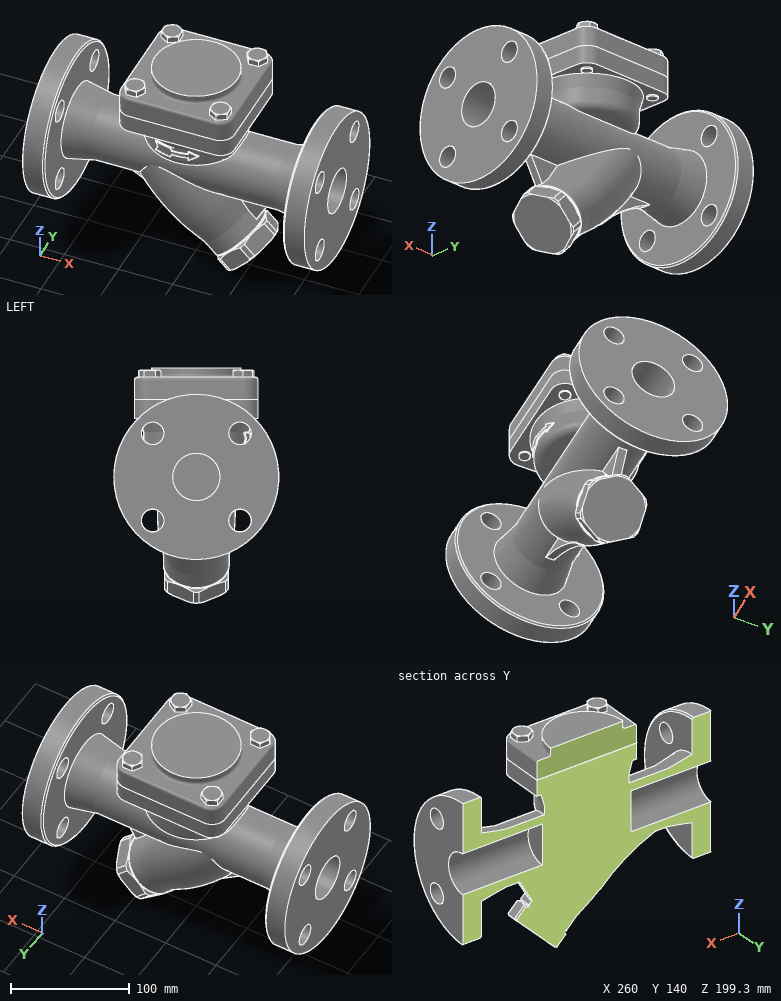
import cadquery as cq
import math


LENGTH = 260.0
PIPE_DIA = 58.0
BORE_DIA = 40.0
BORE_DEPTH = 83.2
FLANGE_DIA = 140.0
FLANGE_THICKNESS = 20.0
FLANGE_CHAMFER = 1.5
FLANGE_HOLE_DIA = 19.0
FLANGE_HOLE_OFFSET = 37.0
WELD_NECK_DIA = 68.0
WELD_NECK_LENGTH = 25.5

CHAMBER_DIA = 89.5
CHAMBER_BOTTOM = 18.5
CHAMBER_FILLET = 7.3
FLARE_BOTTOM = 38.0
FLARE_TOP_DIA = 96.2
SQUARE_WIDTH = 104.8
SQUARE_CORNER = 13.0
SQUARE_BOTTOM = 49.5
PARTING = 65.8

COVER_TOP = 84.5
COVER_EDGE_FILLET = 2.5
DISC_DIA = 76.0
DISC_TOP = 92.3
DISC_ROOT_FILLET = 2.5

BOLT_DIA = 10.0
BOLT_OFFSET = SQUARE_WIDTH / 2 - SQUARE_CORNER
BOLT_HEAD_FLATS = 16.5
BOLT_HEAD_TOP = 90.5
BOLT_END = 48.0

BRANCH_X = -33.5
BARREL_MAX_DIA = 66.0
NECK_DIA = 56.0
NECK_START = 90.2
NECK_END = 105.3
COLLAR_DIA = 54.0
PLUG_START = 106.5
PLUG_END = 122.5
PLUG_FLATS = 54.0
PLUG_CORNER_DIA = 59.8
PLUG_FACE_DIA = 56.2

RIB_THICKNESS = 7.8
RIB_LEFT_X = -71.8
RIB_RIGHT_X = 70.5
RIB_CURVE_POINT = (-46.8, -40.8)
RIB_LOWER_END = 59.8
RIB_UPPER_END = 101.0

ARROW_RELIEF = 1.0
ARROW_Z = 32.5
ARROW_HALF_HEIGHT = 4.7
ARROW_SHAFT_HALF = 1.95
ARROW_TAIL_X = -19.8
ARROW_NOTCH = 2.9
ARROW_BLOCK_END_X = -2.9
ARROW_SHOULDER = 1.5
ARROW_HEAD_X = 11.7
ARROW_TIP_X = 20.0

HEX_CHAMFER_ANGLE = math.radians(30)
OVERLAP = 2.5

ROOT_HALF = math.sqrt(0.5)
BRANCH_PLANE = cq.Plane(
    origin=(BRANCH_X, 0, 0), xDir=(ROOT_HALF, 0, ROOT_HALF), normal=(0, 1, 0)
)


def branch_point(along, across):
    """X and Z of a point given along and across the 45 degree branch axis."""
    return (BRANCH_X + (along + across) * ROOT_HALF, (across - along) * ROOT_HALF)


def cylinder(diameter, bottom, top):
    disc = cq.Workplane("XY").workplane(offset=bottom).circle(diameter / 2)
    return disc.extrude(top - bottom)


def square_block(bottom, top):
    block = cq.Workplane("XY").workplane(offset=bottom).rect(SQUARE_WIDTH, SQUARE_WIDTH)
    return block.extrude(top - bottom).edges("|Z").fillet(SQUARE_CORNER)


def pipe_end():
    """Flange and weld neck at the -X end."""
    end = -LENGTH / 2
    back = end + FLANGE_THICKNESS
    neck_end = back + WELD_NECK_LENGTH
    profile = (
        cq.Workplane("XY")
        .moveTo(end, 0)
        .lineTo(end, FLANGE_DIA / 2)
        .lineTo(back - FLANGE_CHAMFER, FLANGE_DIA / 2)
        .lineTo(back, FLANGE_DIA / 2 - FLANGE_CHAMFER)
        .lineTo(back, WELD_NECK_DIA / 2)
        .lineTo(neck_end, PIPE_DIA / 2)
        .lineTo(neck_end, 0)
        .close()
    )
    bolt_holes = (
        cq.Workplane("YZ")
        .workplane(offset=end)
        .rect(2 * FLANGE_HOLE_OFFSET, 2 * FLANGE_HOLE_OFFSET, forConstruction=True)
        .vertices()
        .circle(FLANGE_HOLE_DIA / 2)
        .extrude(FLANGE_THICKNESS)
    )
    return profile.revolve(360, (0, 0, 0), (1, 0, 0)).cut(bolt_holes)


def pipe():
    run = LENGTH - 2 * FLANGE_THICKNESS
    tube = cq.Workplane("YZ").circle(PIPE_DIA / 2).extrude(run / 2, both=True)
    left_end = pipe_end()
    return tube.union(left_end).union(left_end.mirror("YZ"))


def bores():
    """Blind round bores, one from each end."""
    left = cq.Workplane("YZ").workplane(offset=-LENGTH / 2)
    left = left.circle(BORE_DIA / 2).extrude(BORE_DEPTH)
    return left.union(left.mirror("YZ"))


def chamber():
    round_part = cylinder(CHAMBER_DIA, CHAMBER_BOTTOM, FLARE_BOTTOM)
    round_part = round_part.faces("<Z").edges().fillet(CHAMBER_FILLET)
    flare = (
        cq.Workplane("XY")
        .workplane(offset=FLARE_BOTTOM)
        .circle(CHAMBER_DIA / 2)
        .workplane(offset=SQUARE_BOTTOM - FLARE_BOTTOM)
        .circle(FLARE_TOP_DIA / 2)
        .loft()
    )
    return round_part.union(flare).union(square_block(SQUARE_BOTTOM, PARTING))


def flow_arrow():
    """Arrow cut from a thin ring around the chamber."""
    upper_half = [
        (ARROW_TAIL_X + ARROW_NOTCH, 0),
        (ARROW_TAIL_X, ARROW_HALF_HEIGHT),
        (ARROW_BLOCK_END_X - ARROW_SHOULDER, ARROW_HALF_HEIGHT),
        (ARROW_BLOCK_END_X, ARROW_SHAFT_HALF),
        (ARROW_HEAD_X, ARROW_SHAFT_HALF),
        (ARROW_HEAD_X, ARROW_HALF_HEIGHT),
        (ARROW_TIP_X, 0),
    ]
    lower_half = [(x, -z) for x, z in reversed(upper_half[1:-1])]
    outline = [(x, ARROW_Z + z) for x, z in upper_half + lower_half]
    prism = cq.Workplane("XZ").polyline(outline).close().extrude(CHAMBER_DIA)
    inner_dia = CHAMBER_DIA - 2 * OVERLAP
    shell = cylinder(CHAMBER_DIA + 2 * ARROW_RELIEF, CHAMBER_BOTTOM, SQUARE_BOTTOM).cut(
        cylinder(inner_dia, CHAMBER_BOTTOM, SQUARE_BOTTOM)
    )
    return prism.intersect(shell)


def branch_barrel():
    """Barrel-shaped strainer housing with its straight neck and the collar under the plug."""
    profile = (
        cq.Workplane(BRANCH_PLANE)
        .moveTo(0, 0)
        .lineTo(NECK_DIA / 2, 0)
        .threePointArc((BARREL_MAX_DIA / 2, NECK_START / 2), (NECK_DIA / 2, NECK_START))
        .lineTo(NECK_DIA / 2, NECK_END)
        .lineTo(COLLAR_DIA / 2, NECK_END)
        .lineTo(COLLAR_DIA / 2, PLUG_START)
        .lineTo(0, PLUG_START)
        .close()
    )
    return profile.revolve(360, (0, 0, 0), (0, 1, 0))


def branch_plug():
    """Hexagonal plug with flats facing -Y and +Y; a turned outline trims and chamfers its corners."""
    hexagon_plane = cq.Plane(
        origin=(BRANCH_X, 0, 0), xDir=(0, 1, 0), normal=(ROOT_HALF, 0, -ROOT_HALF)
    )
    hexagon = (
        cq.Workplane(hexagon_plane)
        .workplane(offset=PLUG_START)
        .polygon(6, PLUG_FLATS, circumscribed=True)
        .extrude(PLUG_END - PLUG_START)
    )
    corner = PLUG_CORNER_DIA / 2
    seat_slope = (PLUG_CORNER_DIA - COLLAR_DIA) / 2 * math.tan(HEX_CHAMFER_ANGLE)
    face_slope = (PLUG_CORNER_DIA - PLUG_FACE_DIA) / 2 * math.tan(HEX_CHAMFER_ANGLE)
    turned = (
        cq.Workplane(BRANCH_PLANE)
        .moveTo(0, PLUG_START)
        .lineTo(COLLAR_DIA / 2, PLUG_START)
        .lineTo(corner, PLUG_START + seat_slope)
        .lineTo(corner, PLUG_END - face_slope)
        .lineTo(PLUG_FACE_DIA / 2, PLUG_END)
        .lineTo(0, PLUG_END)
        .close()
        .revolve(360, (0, 0, 0), (0, 1, 0))
    )
    return hexagon.intersect(turned)


def branch_rib():
    pipe_edge = -PIPE_DIA / 2
    inside_pipe = pipe_edge + OVERLAP
    outline = (
        cq.Workplane("XZ")
        .moveTo(RIB_LEFT_X, pipe_edge)
        .threePointArc(RIB_CURVE_POINT, branch_point(RIB_LOWER_END, -BARREL_MAX_DIA / 2))
        .lineTo(*branch_point(RIB_UPPER_END, 0))
        .lineTo(*branch_point(RIB_UPPER_END, NECK_DIA / 2))
        .lineTo(RIB_RIGHT_X, pipe_edge)
        .lineTo(RIB_RIGHT_X, inside_pipe)
        .lineTo(RIB_LEFT_X, inside_pipe)
        .close()
    )
    return outline.extrude(RIB_THICKNESS / 2, both=True)


def bolt_shanks():
    return (
        cq.Workplane("XY")
        .workplane(offset=BOLT_END)
        .rect(2 * BOLT_OFFSET, 2 * BOLT_OFFSET, forConstruction=True)
        .vertices()
        .circle(BOLT_DIA / 2)
        .extrude(COVER_TOP - BOLT_END)
    )


def bolt_head():
    """Hexagon head at the +X -Y corner, two flats facing along X, top chamfered at 30 degrees."""
    height = BOLT_HEAD_TOP - COVER_TOP
    corner = BOLT_HEAD_FLATS / 2 / math.cos(math.pi / 6)
    chamfer_drop = (corner - BOLT_HEAD_FLATS / 2) * math.tan(HEX_CHAMFER_ANGLE)
    hexagon = cq.Workplane("XY").polygon(6, BOLT_HEAD_FLATS, circumscribed=True).extrude(height)
    turned = (
        cq.Workplane("XZ")
        .moveTo(0, 0)
        .lineTo(corner, 0)
        .lineTo(corner, height - chamfer_drop)
        .lineTo(BOLT_HEAD_FLATS / 2, height)
        .lineTo(0, height)
        .close()
        .revolve(360, (0, 0, 0), (0, 1, 0))
    )
    return hexagon.intersect(turned).translate((BOLT_OFFSET, -BOLT_OFFSET, COVER_TOP))


def cover_disc():
    """Raised disc with a concave fillet at its foot."""
    radius = DISC_DIA / 2
    foot_radius = radius + DISC_ROOT_FILLET
    profile = (
        cq.Workplane("XZ")
        .moveTo(0, COVER_TOP)
        .lineTo(foot_radius, COVER_TOP)
        .radiusArc((radius, COVER_TOP + DISC_ROOT_FILLET), DISC_ROOT_FILLET)
        .lineTo(radius, DISC_TOP)
        .lineTo(0, DISC_TOP)
        .close()
    )
    return profile.revolve(360, (0, 0, 0), (0, 1, 0))


def make_housing():
    body = pipe().union(chamber()).union(flow_arrow())
    body = body.union(branch_barrel()).union(branch_rib()).union(branch_plug())
    return body.cut(bores()).cut(bolt_shanks())


def make_cover():
    plate = square_block(PARTING, COVER_TOP).faces(">Z").edges().fillet(COVER_EDGE_FILLET)
    cover = plate.union(cover_disc()).union(bolt_shanks())
    for quarter_turn in range(4):
        cover = cover.union(bolt_head().rotate((0, 0, 0), (0, 0, 1), 90 * quarter_turn))
    return cover


housing = make_housing()
cover = make_cover()

result = cq.Compound.makeCompound([housing.solids().val(), cover.solids().val()])